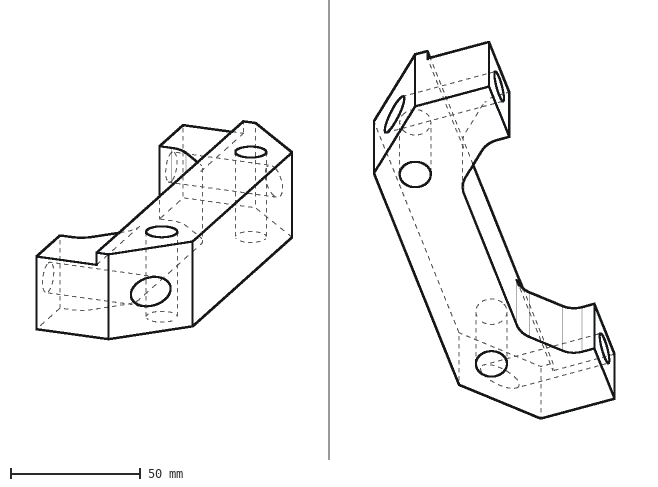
import cadquery as cq
import math

depth = 55.0
length = 155.0
height = 35.0

arm_reach = 25.0
arm_width = 25.0
arm_height = 30.0

corner_chamfer = 25.0
notch_radius = 10.0
notch_straight = 5.0
notch_blend_length = 20.0
notch_slant_angle = math.radians(45)

vertical_hole_diameter = 12.0
arm_hole_diameter = 11.84
vertical_hole_x = 40.0
vertical_hole_spacing = 94.0
arm_hole_height = 17.0
arm_hole_spacing = length - arm_width

half_length = length / 2
notch_half = half_length - arm_width


def make_profile():
    """Plan outline of the bracket, symmetric about the X axis."""
    run = notch_radius * math.sin(notch_slant_angle)
    rise = notch_radius - notch_radius * math.cos(notch_slant_angle)
    arc_mid_run = notch_radius * math.sin(notch_slant_angle / 2)
    arc_mid_rise = notch_radius - notch_radius * math.cos(notch_slant_angle / 2)
    notch_floor_half = notch_half - notch_blend_length

    outer_start = (notch_straight, notch_half)
    outer_mid = (notch_straight + arc_mid_run, notch_half - arc_mid_rise)
    outer_end = (notch_straight + run, notch_half - rise)
    inner_start = (arm_reach - rise, notch_floor_half + run)
    inner_mid = (arm_reach - arc_mid_rise, notch_floor_half + arc_mid_run)
    inner_end = (arm_reach, notch_floor_half)

    return (
        cq.Workplane("XY")
        .moveTo(depth, 0)
        .lineTo(depth, half_length - corner_chamfer)
        .lineTo(depth - corner_chamfer, half_length)
        .lineTo(0, half_length)
        .lineTo(0, notch_half)
        .lineTo(*outer_start)
        .threePointArc(outer_mid, outer_end)
        .lineTo(*inner_start)
        .threePointArc(inner_mid, inner_end)
        .lineTo(arm_reach, 0)
        .mirrorX()
    )


def make_body():
    """Full-height plan, with the arms cut down to their own height."""
    body = make_profile().extrude(height)
    arm_clearance = cq.Workplane("XY").box(
        arm_reach, length, height - arm_height, centered=(False, True, False)
    )
    return body.cut(arm_clearance.translate((0, 0, arm_height)))


def make_vertical_holes():
    """Through holes along Z in the raised back."""
    centers = [(vertical_hole_x, side * vertical_hole_spacing / 2) for side in (-1, 1)]
    return cq.Workplane("XY").pushPoints(centers).circle(vertical_hole_diameter / 2).extrude(height)


def make_arm_holes():
    """Through holes along X, one in each arm."""
    centers = [(side * arm_hole_spacing / 2, arm_hole_height) for side in (-1, 1)]
    return cq.Workplane("YZ").pushPoints(centers).circle(arm_hole_diameter / 2).extrude(depth)


result = make_body().cut(make_vertical_holes()).cut(make_arm_holes())